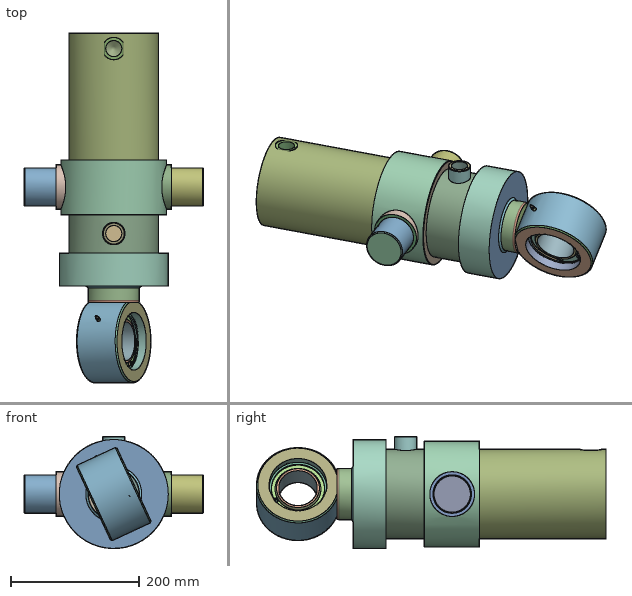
import cadquery as cq
import math


tube_diameter = 140.0
tube_rear_y = 240.0
ring_diameter = 165.0
ring_rear_y = 42.5
ring_front_y = -43.5
ring_chamfer = 0.8
gland_diameter = 170.0
gland_rear_y = -103.0
gland_front_y = -154.0
overall_width = 280.0
trunnion_diameter = 60.0
trunnion_chamfer = 1.5
collar_diameter = 70.0
collar_span = 180.0

port_y = -72.5
port_diameter = 35.0
port_top_z = 90.0
port_bore_diameter = 25.0
port_bore_depth = 25.0
port_chamfer = 1.0
rear_port_y = tube_rear_y - 24.0
spotface_diameter = 35.0
spotface_depth = 1.5
drill_point_angle = 118.0

rod_diameter = 80.0
wiper_diameter = 87.0
wiper_length = 2.5
rod_end_diameter = 79.0
rod_end_taper = 3.0
eye_front_y = -305.0
eye_diameter = 130.0
eye_width = 70.0
eye_chamfer = 2.0
eye_flat_distance = 60.5
eye_tilt = 25.0
eye_y = eye_front_y + eye_diameter / 2
eye_flat_y = eye_y + eye_flat_distance

nipple_angle = 31.0
nipple_root = 1.5
nipple_base_diameter = 6.0
nipple_base_height = 4.5
nipple_neck_diameter = 3.5
nipple_neck_top = 6.5
nipple_head_diameter = 5.1
nipple_tip_diameter = 3.0
nipple_height = 11.0

bearing_diameter = 90.0
bearing_bore = 60.0
bearing_outer_width = 36.0
bearing_inner_width = 44.0
ball_diameter = 80.0
groove_diameter = 94.0
groove_width = 3.0
groove_offset = (bearing_outer_width + groove_width) / 2
retainer_bore = 83.0
retainer_gap_angle = 60.0
lug_diameter = 8.5
lug_hole_diameter = 3.5
lug_radial_distance = 41.5


def y_cylinder(diameter, y_start, y_end):
    """Cylinder on the Y axis between two Y positions."""
    plane = cq.Workplane("XZ", origin=(0, y_start, 0))
    return plane.circle(diameter / 2).extrude(y_start - y_end)


def centred_disc(diameter, width):
    """Cylinder on the X axis, centred on the origin."""
    return cq.Workplane("YZ").circle(diameter / 2).extrude(width / 2, both=True)


def place_in_eye(shape):
    """Move a shape modelled about the X axis to the tilted eye centre."""
    return shape.rotate((0, 0, 0), (0, 1, 0), -eye_tilt).translate((0, eye_y, 0))


def drilled_hole(y, top_z):
    """Blind drilled hole with a conical bottom, going down from top_z."""
    radius = port_bore_diameter / 2
    floor_z = top_z - port_bore_depth
    tip_z = floor_z - radius / math.tan(math.radians(drill_point_angle / 2))
    profile = [(0, top_z), (radius, top_z), (radius, floor_z), (0, tip_z)]
    hole = cq.Workplane("XZ").polyline(profile).close().revolve(360, (0, 0), (0, 1))
    return hole.translate((0, y, 0))


def make_housing():
    tube = y_cylinder(tube_diameter, tube_rear_y, gland_rear_y)
    ring = y_cylinder(ring_diameter, ring_rear_y, ring_front_y).faces("<Y").chamfer(ring_chamfer)
    gland = y_cylinder(gland_diameter, gland_rear_y, gland_front_y)
    collars = centred_disc(collar_diameter, collar_span)
    trunnions = centred_disc(trunnion_diameter, overall_width).faces("<X or >X").chamfer(trunnion_chamfer)
    port = cq.Workplane("XY").center(0, port_y).circle(port_diameter / 2).extrude(port_top_z)
    port = port.faces(">Z").chamfer(port_chamfer)
    housing = tube.union(ring).union(gland).union(collars).union(trunnions).union(port)

    spotface_z = tube_diameter / 2 - spotface_depth
    spotface = cq.Workplane("XY", origin=(0, rear_port_y, spotface_z)).circle(spotface_diameter / 2)
    housing = housing.cut(spotface.extrude(tube_diameter))
    housing = housing.cut(drilled_hole(rear_port_y, spotface_z))
    port_floor_z = port_top_z - port_bore_depth
    port_bore = cq.Workplane("XY", origin=(0, port_y, port_floor_z)).circle(port_bore_diameter / 2)
    return housing.cut(port_bore.extrude(port_bore_depth))


def make_rod_shaft():
    """Exposed rod, flared where it leaves the gland and tapered where it meets the eye."""
    rod_radius = rod_diameter / 2
    profile = [
        (0, gland_front_y),
        (wiper_diameter / 2, gland_front_y),
        (rod_radius, gland_front_y - wiper_length),
        (rod_radius, eye_flat_y + rod_end_taper),
        (rod_end_diameter / 2, eye_flat_y),
        (0, eye_flat_y),
    ]
    return cq.Workplane("XY").polyline(profile).close().revolve(360, (0, 0), (0, 1))


def make_nipple():
    """Grease nipple standing on the rim of the eye, modelled about the X axis of the eye."""
    seat = eye_diameter / 2
    profile = [
        (0, seat - nipple_root),
        (nipple_base_diameter / 2, seat - nipple_root),
        (nipple_base_diameter / 2, seat + nipple_base_height),
        (nipple_neck_diameter / 2, seat + nipple_base_height),
        (nipple_neck_diameter / 2, seat + nipple_neck_top),
        (nipple_head_diameter / 2, seat + nipple_neck_top),
        (nipple_tip_diameter / 2, seat + nipple_height),
        (0, seat + nipple_height),
    ]
    nipple = cq.Workplane("XZ").polyline(profile).close().revolve(360, (0, 0), (0, 1))
    return nipple.rotate((0, 0, 0), (1, 0, 0), -nipple_angle)


def groove_disc(side):
    """Full disc that fills the retaining groove on one side of the bearing."""
    return centred_disc(groove_diameter, groove_width).translate((side * groove_offset, 0, 0))


def make_rod():
    eye = place_in_eye(centred_disc(eye_diameter, eye_width).faces("<X or >X").chamfer(eye_chamfer))
    eye = eye.cut(y_cylinder(2 * eye_diameter, eye_y + eye_diameter, eye_flat_y))
    rod = make_rod_shaft()
    bore = place_in_eye(centred_disc(bearing_diameter, 2 * eye_width))
    rod = rod.union(eye).cut(bore).union(place_in_eye(make_nipple()))
    for side in (-1, 1):
        rod = rod.cut(place_in_eye(groove_disc(side)))
    return rod


def make_retainer(side):
    """Open snap ring with a drilled lug on each side of its gap, beside the bearing."""
    bottom = (0, -groove_diameter)
    gap_angle = math.radians(retainer_gap_angle)
    gap_end = (-groove_diameter * math.sin(gap_angle), -groove_diameter * math.cos(gap_angle))
    gap = cq.Workplane("YZ").polyline([(0, 0), bottom, gap_end]).close().extrude(eye_width, both=True)
    retainer = groove_disc(side).cut(centred_disc(retainer_bore, eye_width)).cut(gap)
    for angle in (0, gap_angle):
        lug_place = (
            side * groove_offset,
            -lug_radial_distance * math.sin(angle),
            -lug_radial_distance * math.cos(angle),
        )
        lug = centred_disc(lug_diameter, groove_width).translate(lug_place)
        lug_hole = centred_disc(lug_hole_diameter, groove_width).translate(lug_place)
        retainer = retainer.union(lug).cut(lug_hole)
    return retainer


def ball_point(x):
    """Point of the ball outline at a distance along the bearing axis."""
    return (x, math.sqrt((ball_diameter / 2) ** 2 - x**2))


def make_bearing():
    """Bearing ring whose ball-shaped middle stands out on both sides, held by two snap rings."""
    inner_half = bearing_inner_width / 2
    outer_half = bearing_outer_width / 2
    arc_middle = (inner_half + outer_half) / 2
    section = (
        cq.Workplane("XZ")
        .moveTo(-inner_half, bearing_bore / 2)
        .lineTo(*ball_point(-inner_half))
        .threePointArc(ball_point(-arc_middle), ball_point(-outer_half))
        .lineTo(-outer_half, bearing_diameter / 2)
        .lineTo(outer_half, bearing_diameter / 2)
        .lineTo(*ball_point(outer_half))
        .threePointArc(ball_point(arc_middle), ball_point(inner_half))
        .lineTo(inner_half, bearing_bore / 2)
        .close()
    )
    bearing = section.revolve(360, (0, 0), (1, 0))
    for side in (-1, 1):
        bearing = bearing.union(make_retainer(side))
    return place_in_eye(bearing)


housing = make_housing()
rod = make_rod()
bearing = make_bearing()
result = cq.Compound.makeCompound([housing.val(), rod.val(), bearing.val()])